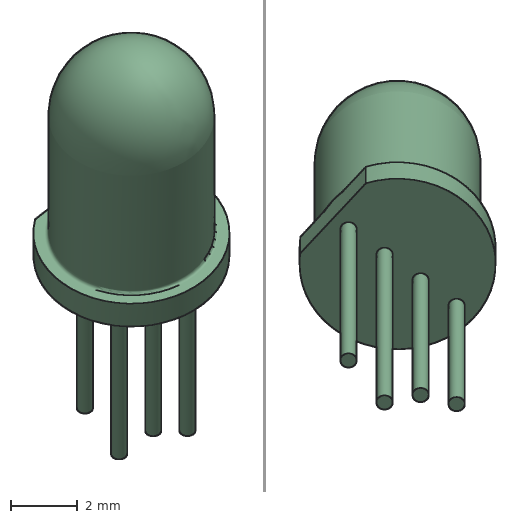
import cadquery as cq

lens_radius = 2.5
flange_diameter = 5.9
flange_radius = flange_diameter / 2
flange_height = 1.0
flange_flat_x = -lens_radius

longest_lead = 9.0
lead_step = 1.0
total_height = 17.6
lens_top = total_height - longest_lead
dome_start = lens_top - lens_radius

root_fillet = 0.1

lead_diameter = 0.5
lead_row_span = 4.19
first_lead_x = -1.9
lead_steps_short = [1, 0, 2, 3]
lead_pitch = lead_row_span / (len(lead_steps_short) - 1)


def make_lens():
    """Cylinder with a hemispherical top, revolved from its half profile."""
    dome_mid = lens_radius * 0.5 ** 0.5
    profile = (
        cq.Workplane("XZ")
        .lineTo(lens_radius, 0)
        .lineTo(lens_radius, dome_start)
        .threePointArc((dome_mid, dome_start + dome_mid), (0, lens_top))
        .close()
    )
    return profile.revolve(360, (0, 0), (0, 1))


def make_flange():
    """Disc with a concave fillet rising to the lens, cut by a flat on the -X side."""
    root_top = flange_height + root_fillet
    root_outer = lens_radius + root_fillet
    fillet_mid = root_fillet * 0.5 ** 0.5
    profile = (
        cq.Workplane("XZ")
        .lineTo(flange_radius, 0)
        .lineTo(flange_radius, flange_height)
        .lineTo(root_outer, flange_height)
        .threePointArc((root_outer - fillet_mid, root_top - fillet_mid), (lens_radius, root_top))
        .lineTo(0, root_top)
        .close()
    )
    disc = profile.revolve(360, (0, 0), (0, 1))
    keep = cq.Workplane("XY").box(
        2 * flange_radius, 2 * flange_radius, root_top, centered=(False, True, False)
    )
    return disc.intersect(keep.translate((flange_flat_x, 0, 0)))


def make_lead(index, steps_short):
    """Round wire hanging below the flange."""
    x = first_lead_x + index * lead_pitch
    length = longest_lead - steps_short * lead_step
    return cq.Workplane("XY").center(x, 0).circle(lead_diameter / 2).extrude(-length)


result = make_flange().union(make_lens())
for index, steps_short in enumerate(lead_steps_short):
    result = result.union(make_lead(index, steps_short))